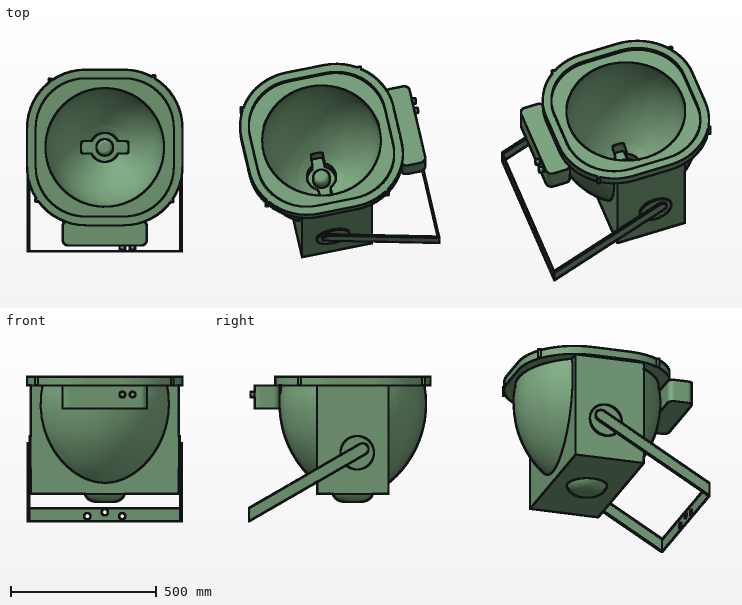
import cadquery as cq
import math


TOTAL_LENGTH = 625.0

RIM_SIDE = 535.0
RIM_CORNER_RADIUS = 201.0
RIM_HEIGHT = 30.0
LEDGE_MARGIN = 30.0
LEDGE_DEPTH = 11.0

PIN_RADIUS = 5.5
PIN_CENTRES = [(-234.0, -181.0), (231.0, -183.0), (-187.5, 232.0), (169.0, 243.0)]

DOME_RADIUS = 252.5
DOME_ARC_RADIUS = 350.0
DOME_CENTRE_Z = -94.0

BOX_WIDTH = 509.0
BOX_LENGTH = 246.0
BOX_BOTTOM_Z = -403.0

CAP_RADIUS = 72.5
CAP_ROUNDING = 44.0
CAP_BOTTOM_Z = -431.0
CAP_HEIGHT = 50.0

BOWL_RADIUS = 212.5
BOWL_ARC_RADIUS = 294.0
BOWL_CENTRE_Z = -81.0

SOCKET_RADIUS = 50.0
SOCKET_SLOT_LENGTH = 164.0
SOCKET_SLOT_WIDTH = 42.5
SOCKET_SLOT_ROUNDING = 9.0
SOCKET_FLOOR_Z = -375.0
LAMP_RADIUS = 29.0
LAMP_ROUNDING = 14.5
LAMP_TOP_Z = -337.5

CONTROL_WIDTH = 290.0
CONTROL_HEIGHT = 80.0
CONTROL_FRONT_Y = -337.5
CONTROL_BACK_Y = -251.0
CONTROL_ROUNDING = 20.0

BUTTON_RADIUS = 10.0
BUTTON_LENGTH = 15.0
BUTTON_ROUNDING = 5.0
BUTTON_Z = -62.0
BUTTON_X = [60.5, 95.5]

DISC_RADIUS = 57.5
DISC_THICKNESS = 4.5
DISC_Y = 15.0
DISC_Z = -262.0
ARM_THICKNESS = 6.0
ARM_WIDTH = 40.0
ARM_ANGLE = 30.0
ARM_END_Y = 34.0
BRACKET_FRONT_Y = RIM_SIDE / 2 - TOTAL_LENGTH
BRACKET_BOTTOM_Z = -498.0
CROSSBAR_THICKNESS = 1.0

HOLE_DIAMETER = 21.0
HOLE_SPACING = 60.0
HOLE_HEIGHT = 18.0
MIDDLE_HOLE_RISE = 14.0


def rounded_block(width, length, height, corner_radius, top_z):
    """Block around the lamp axis with rounded upright edges, hanging from top_z."""
    block = cq.Workplane("XY").workplane(offset=top_z - height).rect(width, length).extrude(height)
    return block.edges("|Z").fillet(corner_radius)


def round_post(radius, bottom_z, top_z):
    """Cylinder on the lamp axis."""
    return cq.Workplane("XY").workplane(offset=bottom_z).circle(radius).extrude(top_z - bottom_z)


def arc_height(radius, widest_radius, arc_radius):
    """Distance from the widest circle of a dome to the circle of the given radius."""
    return math.sqrt(arc_radius**2 - (arc_radius - widest_radius + radius) ** 2)


def make_dome(widest_radius, arc_radius, centre_z, top_z):
    """Solid pointed dome, tip down, with its widest circle at centre_z and cut flat at top_z."""
    arc_offset = arc_radius - widest_radius
    top_radius = math.sqrt(arc_radius**2 - (top_z - centre_z) ** 2) - arc_offset
    middle_radius = widest_radius / 2
    middle_z = centre_z - arc_height(middle_radius, widest_radius, arc_radius)
    tip_z = centre_z - arc_height(0, widest_radius, arc_radius)
    return (
        cq.Workplane("XZ")
        .moveTo(0, top_z)
        .lineTo(top_radius, top_z)
        .threePointArc((middle_radius, middle_z), (0, tip_z))
        .close()
        .revolve(360, (0, 0, 0), (0, 1, 0))
    )


def make_rim():
    rim = rounded_block(RIM_SIDE, RIM_SIDE, RIM_HEIGHT, RIM_CORNER_RADIUS, 0)
    ledge_side = RIM_SIDE - 2 * LEDGE_MARGIN
    ledge_corner = RIM_CORNER_RADIUS - LEDGE_MARGIN
    rim = rim.cut(rounded_block(ledge_side, ledge_side, LEDGE_DEPTH, ledge_corner, 0))
    for x, y in PIN_CENTRES:
        rim = rim.union(round_post(PIN_RADIUS, -RIM_HEIGHT, 0).translate((x, y, 0)))
    return rim


def make_housing():
    """Dome cut off under the rim, the box around it and the cap underneath."""
    top_z = -RIM_HEIGHT
    dome = make_dome(DOME_RADIUS, DOME_ARC_RADIUS, DOME_CENTRE_Z, top_z)
    box_height = top_z - BOX_BOTTOM_Z
    box = cq.Workplane("XY").workplane(offset=BOX_BOTTOM_Z).rect(BOX_WIDTH, BOX_LENGTH).extrude(box_height)
    cap = round_post(CAP_RADIUS, CAP_BOTTOM_Z, CAP_BOTTOM_Z + CAP_HEIGHT)
    cap = cap.faces("<Z").edges().fillet(CAP_ROUNDING)
    return box.union(dome).union(cap)


def make_reflector_space():
    return make_dome(BOWL_RADIUS, BOWL_ARC_RADIUS, BOWL_CENTRE_Z, -LEDGE_DEPTH)


def make_socket_space():
    """Round recess with a slot across it, reaching up into the reflector hollow."""
    top_z = BOWL_CENTRE_Z - arc_height(SOCKET_SLOT_LENGTH / 2, BOWL_RADIUS, BOWL_ARC_RADIUS)
    depth = top_z - SOCKET_FLOOR_Z
    slot = rounded_block(SOCKET_SLOT_LENGTH, SOCKET_SLOT_WIDTH, depth, SOCKET_SLOT_ROUNDING, top_z)
    return slot.union(round_post(SOCKET_RADIUS, SOCKET_FLOOR_Z, top_z))


def make_lamp():
    lamp = round_post(LAMP_RADIUS, SOCKET_FLOOR_Z, LAMP_TOP_Z)
    return lamp.faces(">Z").edges().fillet(LAMP_ROUNDING)


def make_control_box():
    length = CONTROL_BACK_Y - CONTROL_FRONT_Y
    box = rounded_block(CONTROL_WIDTH, length, CONTROL_HEIGHT, CONTROL_ROUNDING, -RIM_HEIGHT)
    box = box.translate((0, (CONTROL_FRONT_Y + CONTROL_BACK_Y) / 2, 0))
    for x in BUTTON_X:
        button = (
            cq.Workplane("XZ", origin=(x, CONTROL_FRONT_Y, BUTTON_Z))
            .circle(BUTTON_RADIUS)
            .extrude(BUTTON_LENGTH)
        )
        box = box.union(button.faces("<Y").edges().fillet(BUTTON_ROUNDING))
    return box


def make_swivel_disc():
    """Disc on the +X side of the box."""
    return (
        cq.Workplane("YZ", origin=(BOX_WIDTH / 2, DISC_Y, DISC_Z))
        .circle(DISC_RADIUS)
        .extrude(DISC_THICKNESS)
    )


arm_inner_x = BOX_WIDTH / 2 + DISC_THICKNESS
arm_outer_x = arm_inner_x + ARM_THICKNESS
arm_cos = math.cos(math.radians(ARM_ANGLE))
arm_sin = math.sin(math.radians(ARM_ANGLE))
crossbar_height = ARM_WIDTH / arm_cos


def make_arm():
    """Sloping arm on the +X side, round at the swivel and cut upright at the crossbar."""
    half_width = ARM_WIDTH / 2
    fall = (ARM_END_Y - BRACKET_FRONT_Y) * arm_sin / arm_cos
    end_z = BRACKET_BOTTOM_Z + crossbar_height / 2 + fall
    return (
        cq.Workplane("YZ", origin=(arm_inner_x, 0, 0))
        .moveTo(BRACKET_FRONT_Y, BRACKET_BOTTOM_Z)
        .lineTo(ARM_END_Y + half_width * arm_sin, end_z - half_width * arm_cos)
        .threePointArc(
            (ARM_END_Y + half_width * arm_cos, end_z + half_width * arm_sin),
            (ARM_END_Y - half_width * arm_sin, end_z + half_width * arm_cos),
        )
        .lineTo(BRACKET_FRONT_Y, BRACKET_BOTTOM_Z + crossbar_height)
        .close()
        .extrude(ARM_THICKNESS)
    )


def make_crossbar():
    bar = cq.Workplane("XY").box(
        2 * arm_outer_x, CROSSBAR_THICKNESS, crossbar_height, centered=(True, False, False)
    )
    holes = (
        cq.Workplane("XZ")
        .pushPoints([
            (-HOLE_SPACING, HOLE_HEIGHT),
            (0, HOLE_HEIGHT + MIDDLE_HOLE_RISE),
            (HOLE_SPACING, HOLE_HEIGHT),
        ])
        .circle(HOLE_DIAMETER / 2)
        .extrude(CROSSBAR_THICKNESS, both=True)
    )
    return bar.cut(holes).translate((0, BRACKET_FRONT_Y, BRACKET_BOTTOM_Z))


swivel_side = make_swivel_disc().union(make_arm())

result = (
    make_rim()
    .union(make_housing())
    .cut(make_reflector_space())
    .cut(make_socket_space())
    .union(make_lamp())
    .union(make_control_box())
    .union(swivel_side)
    .union(swivel_side.mirror("YZ"))
    .union(make_crossbar())
)